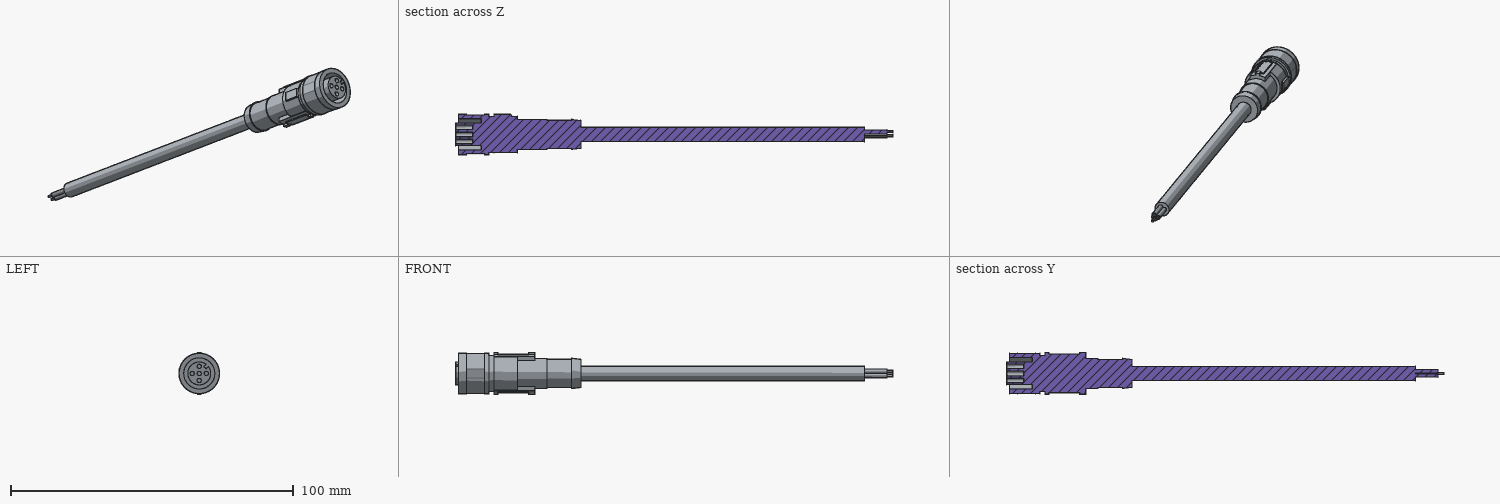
import cadquery as cq
import math

total_length = 154.5
clip_height = 14.79
overlap = 0.5

nut_diameter = 14.4
nut_radius = nut_diameter / 2
nut_front = 1.0
nut_rear = 11.7
waist_radius = nut_radius - 0.1
waist_front = 3.75
waist_rear = 10.25
grip_flat_width = 3.3
grip_flat_offset = math.sqrt(waist_radius**2 - (grip_flat_width / 2) ** 2)

insert_radius = 4.05
socket_radius = 5.5
socket_depth = 8.0
outer_contact_count = 4
contact_hole_radius = 0.75
contact_circle_radius = 2.5
contact_hole_depth = 6.0
key_width = 1.1
key_depth = 1.2
key_angle = 45.0

neck_radius = 6.4
shoulder_front = 13.5
shoulder_radius = 6.5
shoulder_rear = 21.8
sleeve_radius = 5.35
sleeve_rear = 32.2
tail_radius = 5.05
collar_front = 41.0
collar_front_radius = 5.4
collar_rear = 44.3
collar_rear_radius = 5.0

clip_rear = 28.0
clip_width = 5.6
clip_tab_radius = 6.65
clip_pad_front = 14.9
clip_pad_rear = 25.8
clip_pad_width = 3.3
clip_pad_height = 6.9
clip_rib_width = 1.4

marker_length = 6.3
marker_width = 3.0
marker_slope = 0.5

cable_radius = 2.6
cable_rear = 144.5
wire_count = 3
wire_radius = 0.8
wire_spacing = 1.96 * wire_radius
wire_circle_radius = wire_spacing / 2 / math.sin(math.pi / wire_count)
insulation_rear = 152.5
strand_radius = 0.4


def rod(start, end, radius, y=0.0, z=0.0):
    """Cylinder parallel to X."""
    return cq.Workplane("YZ", origin=(start, y, z)).circle(radius).extrude(end - start)


def block(start, end, width, bottom, top):
    """Box centred on Y = 0, given by its X range, Y width and Z range."""
    size = (end - start, width, top - bottom)
    return cq.Workplane("XY").box(*size, centered=(False, True, False)).translate((start, 0, bottom))


def about_x(shape, angle):
    return shape.rotate((0, 0, 0), (1, 0, 0), angle)


def make_shell():
    """Nut and grip body, turned from one stepped profile."""
    profile = [
        (nut_front, 0),
        (nut_front, nut_radius),
        (waist_front, nut_radius),
        (waist_front, waist_radius),
        (waist_rear, waist_radius),
        (waist_rear, nut_radius),
        (nut_rear, nut_radius),
        (nut_rear, neck_radius),
        (shoulder_front, neck_radius),
        (shoulder_front, shoulder_radius),
        (shoulder_rear, shoulder_radius),
        (shoulder_rear, sleeve_radius),
        (sleeve_rear, sleeve_radius),
        (sleeve_rear, tail_radius),
        (collar_front, tail_radius),
        (collar_front, collar_front_radius),
        (collar_rear, collar_rear_radius),
        (collar_rear, 0),
    ]
    return cq.Workplane("XZ").polyline(profile).close().revolve(360, (0, 0, 0), (1, 0, 0))


def cut_grip_flats(body):
    flat = block(waist_front, waist_rear, nut_diameter, grip_flat_offset, nut_diameter)
    for angle in (90, -90):
        body = body.cut(about_x(flat, angle))
    return body


def add_insert(body):
    """Open the socket and put the keyed five-hole contact insert in it."""
    socket_floor = nut_front + socket_depth
    body = body.cut(rod(nut_front, socket_floor, socket_radius))
    insert = rod(0, socket_floor + overlap, insert_radius)
    key = block(0, socket_floor, key_width, insert_radius - key_depth, socket_radius)
    insert = insert.cut(about_x(key, key_angle))
    insert = insert.cut(rod(0, contact_hole_depth, contact_hole_radius))
    outer_hole = rod(0, contact_hole_depth, contact_hole_radius, z=contact_circle_radius)
    for index in range(outer_contact_count):
        insert = insert.cut(about_x(outer_hole, 360 * index / outer_contact_count))
    return body.union(insert)


def make_clip():
    """Clip on the +Z side: a curved tab, a flat pad and a rib at each end of the pad."""
    rib_top = clip_height / 2
    tab = rod(shoulder_front, clip_rear, clip_tab_radius)
    tab = tab.intersect(block(shoulder_front, clip_rear, clip_width, 0, clip_tab_radius))
    pad = block(clip_pad_front, clip_pad_rear, clip_pad_width, 0, clip_pad_height)
    clip = tab.union(pad)
    for start, end in ((shoulder_front, clip_pad_front), (clip_pad_rear, clip_rear)):
        clip = clip.union(block(start, end, clip_rib_width, 0, rib_top))
    return clip


def make_marker():
    marker = block(shoulder_front, shoulder_front + marker_length, marker_width, 0, nut_radius)
    marker = marker.faces(">X").edges(">Z").chamfer(marker_slope)
    return about_x(marker, -90)


def make_cable():
    cable = rod(collar_rear - overlap, cable_rear, cable_radius)
    for index in range(wire_count):
        angle = 2 * math.pi * index / wire_count
        y = wire_circle_radius * math.cos(angle)
        z = wire_circle_radius * math.sin(angle)
        cable = cable.union(rod(cable_rear - overlap, insulation_rear, wire_radius, y, z))
        cable = cable.union(rod(insulation_rear - overlap, total_length, strand_radius, y, z))
    return cable


connector = make_shell().union(make_cable())
connector = add_insert(cut_grip_flats(connector))
clip = make_clip()
for angle in (0, 180):
    connector = connector.union(about_x(clip, angle))
result = connector.union(make_marker())